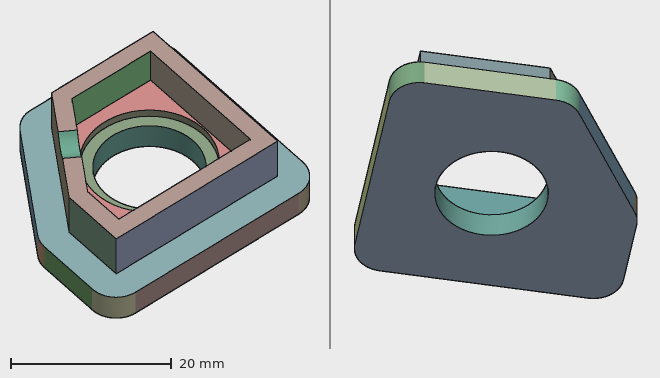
import cadquery as cq
import math

frame_length = 24.25
frame_width = 26.04
cut_x = 15.08
cut_y = 9.66
wall = 2.4
frame_height = 6.35

flange_margin = 3.94
flange_thickness = 3.81
flange_corner_radius = 3.81

pocket_depth = 5.26
hole_x = 0.79
hole_y = 1.74
hole_diameter = 14.1
counterbore_diameter = 17.34
counterbore_depth = 1.13

notch_radius = 3.81
notch_depth = 0.76
notch_overrun = 1.0

total_height = flange_thickness + frame_height
pocket_floor_z = total_height - pocket_depth
slant_angle = math.atan2(cut_y, cut_x)


def outline(offset, z):
    """Frame outline moved outward by offset (inward if negative), with sharp corners."""
    right = frame_length / 2 + offset
    back = frame_width / 2 + offset
    slant_end_y = cut_y - frame_width / 2 - offset * math.tan(math.pi / 4 - slant_angle / 2)
    slant_end_x = cut_x - frame_length / 2 - offset * math.tan(slant_angle / 2)
    return cq.Workplane("XY", origin=(0, 0, z)).polyline([
        (-right, back),
        (right, back),
        (right, -back),
        (slant_end_x, -back),
        (-right, slant_end_y),
    ]).close()


def make_flange():
    flange = outline(flange_margin, 0).extrude(flange_thickness)
    return flange.edges("|Z").fillet(flange_corner_radius)


def make_frame():
    return outline(0, flange_thickness).extrude(frame_height)


def make_pocket():
    return outline(-wall, pocket_floor_z).extrude(pocket_depth)


def make_stepped_hole():
    hole = cq.Workplane("XY").center(hole_x, hole_y).circle(hole_diameter / 2).extrude(total_height)
    counterbore = (
        cq.Workplane("XY", origin=(hole_x, hole_y, pocket_floor_z - counterbore_depth))
        .circle(counterbore_diameter / 2)
        .extrude(counterbore_depth)
    )
    return hole.union(counterbore)


def make_notch():
    """Cylinder square to the slanted wall at mid-length, its axis above the top of the frame."""
    inward = cq.Vector(math.sin(slant_angle), math.cos(slant_angle), 0)
    on_face = cq.Vector(
        (cut_x - frame_length) / 2,
        (cut_y - frame_width) / 2,
        total_height - notch_depth + notch_radius,
    )
    plane = cq.Plane(origin=on_face - inward * notch_overrun, normal=inward)
    return cq.Workplane(plane).circle(notch_radius).extrude(wall + 2 * notch_overrun)


result = (
    make_flange()
    .union(make_frame())
    .cut(make_pocket())
    .cut(make_stepped_hole())
    .cut(make_notch())
)